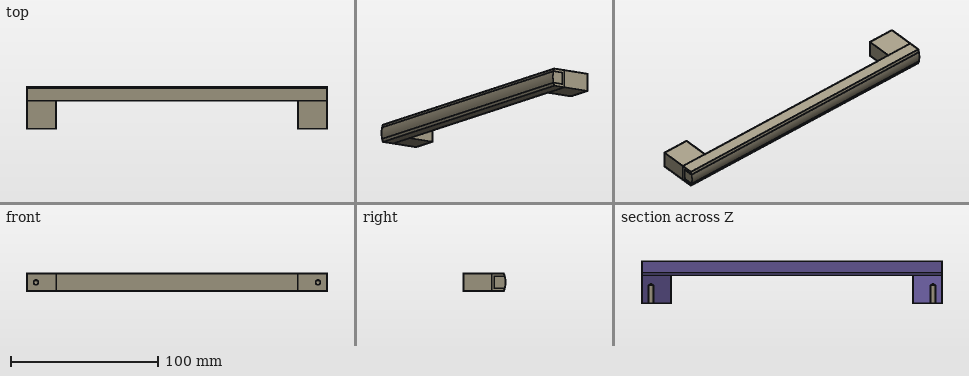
import cadquery as cq
import math

length = 204.0
projection = 28.8
height = 12.0

leg_width = 19.8
leg_depth = 19.2

crown_rise = 1.2
crown_edge_y = projection - crown_rise

inlay_height = 8.0
inlay_floor_y = 21.0

hole_diameter = 3.3
hole_inset = 6.1
hole_depth = 12.2
drill_point_angle = 118.0


def crowned_bar():
    """Full bar section, flat at the back and arched outward, extruded along X."""
    half_height = height / 2
    return (
        cq.Workplane("YZ")
        .moveTo(leg_depth, -half_height)
        .lineTo(crown_edge_y, -half_height)
        .threePointArc((projection, 0), (crown_edge_y, half_height))
        .lineTo(leg_depth, half_height)
        .close()
        .extrude(length / 2, both=True)
    )


def inlay_block():
    """Straight block running the full length, from the groove floor outward."""
    return cq.Workplane("XY").box(
        length, projection - inlay_floor_y, inlay_height
    ).translate((0, (inlay_floor_y + projection) / 2, 0))


def make_grip():
    """Bar with an open groove for the inlay."""
    return crowned_bar().cut(inlay_block())


def make_inlay():
    """Strip that fills the groove and follows the crown."""
    return crowned_bar().intersect(inlay_block())


def screw_hole(x):
    """Drilled hole with a conical bottom, entering from the free end of a leg."""
    radius = hole_diameter / 2
    tip_length = radius / math.tan(math.radians(drill_point_angle / 2))
    return (
        cq.Workplane("XY")
        .moveTo(0, 0)
        .lineTo(radius, 0)
        .lineTo(radius, hole_depth)
        .lineTo(0, hole_depth + tip_length)
        .close()
        .revolve(360, (0, 0), (0, 1))
        .translate((x, 0, 0))
    )


def make_leg(side):
    """Rectangular leg flush with one end of the bar; side is -1 or +1 along X."""
    block = cq.Workplane("XY").box(leg_width, leg_depth, height)
    block = block.translate((side * (length - leg_width) / 2, leg_depth / 2, 0))
    return block.cut(screw_hole(side * (length / 2 - hole_inset)))


grip = make_grip()
inlay = make_inlay()
legs = [make_leg(side) for side in (-1, 1)]

result = cq.Compound.makeCompound([grip.val(), inlay.val(), *[leg.val() for leg in legs]])